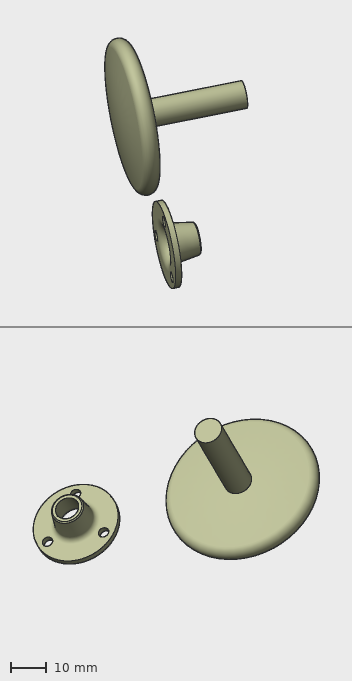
import cadquery as cq
import math

OVERALL_WIDTH = 85.0

KNOB_DIAMETER = 45.0
HEAD_THICKNESS = 9.0
RIM_ROUND = 2.55
STEM_RADIUS = 4.0
KNOB_LENGTH = 37.0

FLANGE_RADIUS = 12.5
FLANGE_THICKNESS = 1.8
SOCKET_LENGTH = 9.7
NECK_TIP_RADIUS = 4.7
NECK_TAPER = math.radians(9.1)
NECK_ROOT_FILLET = 1.7
NECK_TIP_CHAMFER = 0.3
THROAT_RADIUS = 3.4
BORE_TAPER = math.radians(5.5)
MOUTH_FLARE = 3.6

SCREW_COUNT = 3
SCREW_HOLE_DIAMETER = 3.0
SCREW_CIRCLE_RADIUS = 9.5
FIRST_SCREW_ANGLE = 90.0

KNOB_RADIUS = KNOB_DIAMETER / 2
KNOB_X = KNOB_RADIUS
SOCKET_X = OVERALL_WIDTH - FLANGE_RADIUS


def turn(profile, axis_x):
    """Revolve a closed (radius, Y) profile about the Y axis and move it to axis_x."""
    return profile.close().revolve(360, (0, 0), (0, 1)).translate((axis_x, 0, 0))


def arc_points(center, radius, start, end):
    """Middle and end points of an arc that runs from angle start to angle end."""
    return [
        (center[0] + radius * math.cos(angle), center[1] + radius * math.sin(angle))
        for angle in ((start + end) / 2, end)
    ]


def make_knob():
    mid_y = HEAD_THICKNESS / 2
    rim_center_radius = KNOB_RADIUS - RIM_ROUND

    dome_radius = (rim_center_radius**2 + mid_y**2 - RIM_ROUND**2) / (2 * (mid_y - RIM_ROUND))
    dome_edge_radius = rim_center_radius * dome_radius / (dome_radius - RIM_ROUND)

    def dome_drop(radius):
        return dome_radius - math.sqrt(dome_radius**2 - radius**2)

    dome_rise = dome_drop(dome_edge_radius)
    front_mid = dome_edge_radius / 2
    stem_root_y = HEAD_THICKNESS - dome_drop(STEM_RADIUS)
    back_mid = (dome_edge_radius + STEM_RADIUS) / 2
    profile = (
        cq.Workplane("XY")
        .moveTo(0, 0)
        .threePointArc((front_mid, dome_drop(front_mid)), (dome_edge_radius, dome_rise))
        .threePointArc((KNOB_RADIUS, mid_y), (dome_edge_radius, HEAD_THICKNESS - dome_rise))
        .threePointArc((back_mid, HEAD_THICKNESS - dome_drop(back_mid)), (STEM_RADIUS, stem_root_y))
        .lineTo(STEM_RADIUS, KNOB_LENGTH)
        .lineTo(0, KNOB_LENGTH)
    )
    return turn(profile, KNOB_X)


def make_socket_body():
    fillet_center_y = FLANGE_THICKNESS + NECK_ROOT_FILLET
    fillet_top_y = fillet_center_y - NECK_ROOT_FILLET * math.sin(NECK_TAPER)
    neck_root_radius = NECK_TIP_RADIUS + (SOCKET_LENGTH - fillet_top_y) * math.tan(NECK_TAPER)
    fillet_center_radius = neck_root_radius + NECK_ROOT_FILLET * math.cos(NECK_TAPER)
    fillet = arc_points(
        (fillet_center_radius, fillet_center_y),
        NECK_ROOT_FILLET,
        1.5 * math.pi,
        math.pi + NECK_TAPER,
    )

    flare_end_y = MOUTH_FLARE * (1 - math.sin(BORE_TAPER))
    flare_end_radius = THROAT_RADIUS + (SOCKET_LENGTH - flare_end_y) * math.tan(BORE_TAPER)
    mouth_radius = flare_end_radius + MOUTH_FLARE * math.cos(BORE_TAPER)
    flare = arc_points(
        (mouth_radius, MOUTH_FLARE), MOUTH_FLARE, math.pi + BORE_TAPER, 1.5 * math.pi
    )

    chamfer_y = SOCKET_LENGTH - NECK_TIP_CHAMFER
    chamfer_radius = NECK_TIP_RADIUS + NECK_TIP_CHAMFER * math.tan(NECK_TAPER)
    profile = (
        cq.Workplane("XY")
        .moveTo(mouth_radius, 0)
        .lineTo(FLANGE_RADIUS, 0)
        .lineTo(FLANGE_RADIUS, FLANGE_THICKNESS)
        .lineTo(fillet_center_radius, FLANGE_THICKNESS)
        .threePointArc(*fillet)
        .lineTo(chamfer_radius, chamfer_y)
        .lineTo(NECK_TIP_RADIUS - NECK_TIP_CHAMFER, SOCKET_LENGTH)
        .lineTo(THROAT_RADIUS, SOCKET_LENGTH)
        .lineTo(flare_end_radius, flare_end_y)
        .threePointArc(*flare)
    )
    return turn(profile, SOCKET_X)


def make_screw_holes():
    """Evenly spaced cutters through the flange thickness, the first one at the top."""
    return (
        cq.Workplane("XZ", origin=(SOCKET_X, 0, 0))
        .polarArray(SCREW_CIRCLE_RADIUS, FIRST_SCREW_ANGLE, 360, SCREW_COUNT)
        .circle(SCREW_HOLE_DIAMETER / 2)
        .extrude(-FLANGE_THICKNESS)
    )


knob = make_knob()
socket = make_socket_body().cut(make_screw_holes())

result = cq.Compound.makeCompound([knob.val(), *socket.vals()])